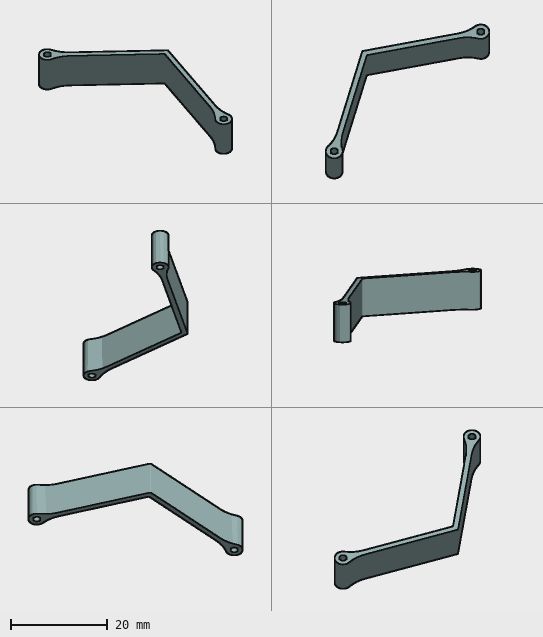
import cadquery as cq
import math

length = 45.5
depth = 15.25
height = 8.0
eye_diameter = 3.5
hole_diameter = 1.5
arm_thickness = 1.2
neck_radius = 8.0
apex_radius = 0.4

eye_radius = eye_diameter / 2
half_thickness = arm_thickness / 2
eye_x = length / 2 - eye_radius
outer_apex_y = depth - eye_radius

apex_center_y = outer_apex_y - apex_radius
apex_center_distance = math.hypot(eye_x, apex_center_y)
apex_center_angle = math.atan2(apex_center_y, eye_x)
slope = apex_center_angle - math.asin((half_thickness - apex_radius) / apex_center_distance)
rise = eye_x * math.tan(slope)


def arm_point(along, across):
    """Point on the left arm, measured from its eye along and across the arm."""
    x = -eye_x + along * math.cos(slope) - across * math.sin(slope)
    y = along * math.sin(slope) + across * math.cos(slope)
    return x, y


def mirrored(point):
    return -point[0], point[1]


def make_bent_strip():
    """Constant-thickness V with rounded inner and outer apex edges."""
    apex_offset = half_thickness / math.cos(slope)
    upper_end = arm_point(0, half_thickness)
    lower_end = arm_point(0, -half_thickness)
    outline = [
        upper_end,
        (0, rise + apex_offset),
        mirrored(upper_end),
        mirrored(lower_end),
        (0, rise - apex_offset),
        lower_end,
    ]
    strip = cq.Workplane("XY").polyline(outline).close().extrude(height)
    apex_edges = cq.selectors.BoxSelector((-eye_radius, 0, 0), (eye_radius, depth, height))
    return strip.edges("|Z").edges(apex_edges).fillet(apex_radius)


def make_left_neck():
    """Flare joining the arm to its eye by an arc tangent to both on each side."""
    arc_center_across = half_thickness + neck_radius
    center_distance = eye_radius + neck_radius
    neck_length = math.sqrt(center_distance**2 - arc_center_across**2)
    eye_share = eye_radius / center_distance
    eye_along = neck_length * eye_share
    eye_across = arc_center_across * eye_share

    half_sweep = math.atan2(neck_length, arc_center_across) / 2
    middle_along = neck_length - neck_radius * math.sin(half_sweep)
    middle_across = arc_center_across - neck_radius * math.cos(half_sweep)

    return (
        cq.Workplane("XY")
        .moveTo(*arm_point(0, 0))
        .lineTo(*arm_point(eye_along, eye_across))
        .threePointArc(arm_point(middle_along, middle_across), arm_point(neck_length, half_thickness))
        .lineTo(*arm_point(neck_length, -half_thickness))
        .threePointArc(arm_point(middle_along, -middle_across), arm_point(eye_along, -eye_across))
        .close()
        .extrude(height)
    )


eye_centers = [(-eye_x, 0), (eye_x, 0)]
eyes = cq.Workplane("XY").pushPoints(eye_centers).circle(eye_radius).extrude(height)
holes = cq.Workplane("XY").pushPoints(eye_centers).circle(hole_diameter / 2).extrude(height)
left_neck = make_left_neck()
right_neck = left_neck.mirror("YZ")

result = make_bent_strip().union(left_neck).union(right_neck).union(eyes).cut(holes).clean()